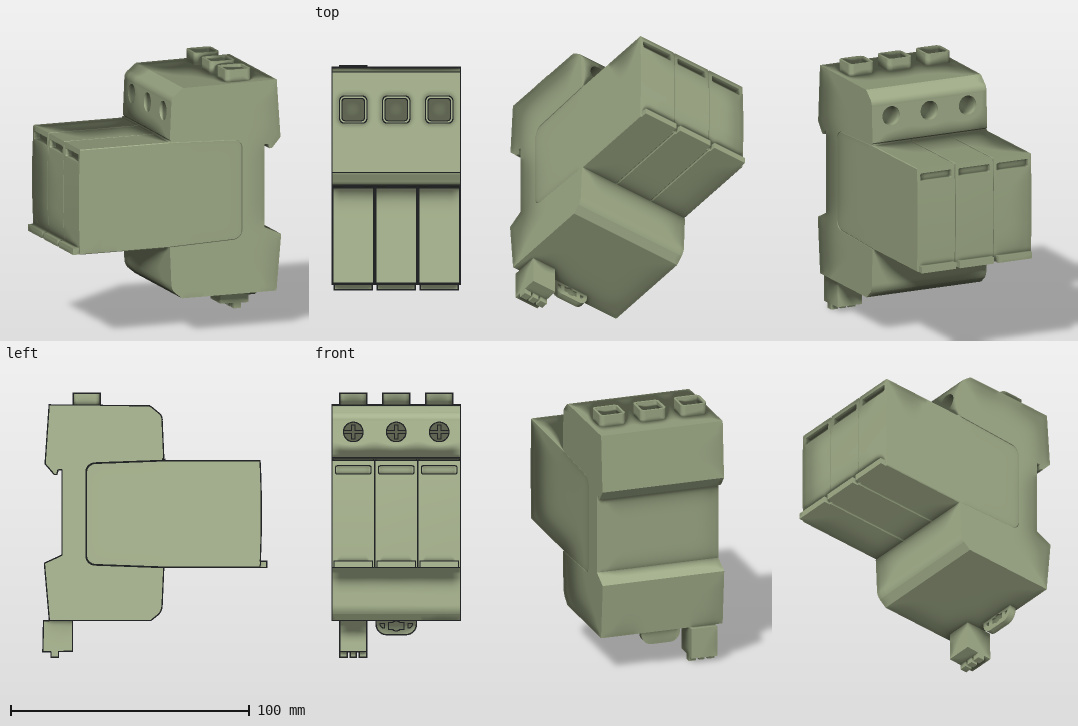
import cadquery as cq


pole_count = 3
pole_pitch = 18.0
base_width = pole_count * pole_pitch
pole_xs = [(i - (pole_count - 1) / 2) * pole_pitch for i in range(pole_count)]

base_top = 45.75
base_bottom = -44.7
base_front = -42.7
top_back_y = 5.4
bottom_back_y = 5.3
bottom_front_y = -37.2

top_shoulder_start = (-36.6, 45.35)
top_shoulder_bend = (-37.6, 44.8)
top_arc_start = (-40.2, 42.6)
top_arc_middle = (-41.5, 41.3)
top_arc_end = (-42.0, 39.1)
bottom_arc_start = (-40.5, -42.0)
bottom_arc_middle = (-41.5, -40.5)
bottom_arc_end = (-42.0, -38.2)

hook_back = (7.1, 21.0)
hook_tip_y = (3.2, 2.1)
hook_tip_z = 16.5
hook_root = (1.6, 18.4)
seat_top = 18.5
seat_bottom = -17.2
foot_back = (7.4, -20.6)

cartridge_half_height = 22.5
cartridge_width = 17.65
cartridge_back = -10.0
cartridge_back_half_height = 21.3
cartridge_back_radius = 4.0
cartridge_front = -83.0
front_bulge = 0.6
seam_bevel = 0.3
lip_height = 0.5
lip_front = -43.25
lip_bevel = 0.6

window_width = 14.8
window_height = 3.5
window_z = 18.45
window_depth = 2.5
window_radius = 0.7
tab_width = 16.0
tab_height = 2.8
tab_front = -85.8
tab_root = cartridge_front + 1.0

screw_z = 34.35
screw_hole_diameter = 8.2
screw_hole_depth = 14.0
screw_slot_width = 1.4
screw_cross_length = 5.8
screw_slot_depth = 1.0

collar_size = 11.4
collar_opening = 9.35
collar_corner = 2.0
collar_opening_corner = 1.2
collar_y = -10.35
collar_top = 50.6
collar_opening_depth = 15.0

plug_width = 11.5
plug_back = 8.06
plug_front = -4.5
plug_bottom = -57.5
plug_bottom_drop = 0.3
plug_draft = 0.3
prong_bottom = -60.0
prong_back = 4.6
prong_front = 1.4
prong_gap = 1.2
prong_middle_width = 2.6

latch_width = 17.0
latch_bottom = -50.6
latch_radius = 4.5
latch_front = 1.0
latch_back = 4.0
latch_recess_depth = 0.8
latch_recess_z = -46.9
latch_slot_width = 6.6
latch_slot_height = 2.8
latch_eye_diameter = 4.2
latch_pocket_inner_x = 4.9
latch_pocket_size = 1.9
latch_pocket_top = -45.95

overlap = 1.0


def extrude_across(profile, width):
    """Extrude a YZ profile symmetrically about X = 0."""
    return profile.extrude(width / 2, both=True)


def make_base():
    """Housing with the rail hook, rail seat, and two bevelled front shoulders."""
    profile = (
        cq.Workplane("YZ")
        .moveTo(top_back_y, base_top)
        .lineTo(*hook_back)
        .lineTo(hook_tip_y[0], hook_tip_z)
        .lineTo(hook_tip_y[1], hook_tip_z)
        .lineTo(*hook_root)
        .lineTo(0, seat_top)
        .lineTo(0, seat_bottom)
        .lineTo(*foot_back)
        .lineTo(bottom_back_y, base_bottom)
        .lineTo(bottom_front_y, base_bottom)
        .lineTo(*bottom_arc_start)
        .threePointArc(bottom_arc_middle, bottom_arc_end)
        .lineTo(base_front, -cartridge_half_height)
        .lineTo(base_front + lip_bevel, cartridge_half_height + lip_height)
        .lineTo(base_front, cartridge_half_height + lip_height + lip_bevel)
        .lineTo(*top_arc_end)
        .threePointArc(top_arc_middle, top_arc_start)
        .lineTo(*top_shoulder_bend)
        .lineTo(*top_shoulder_start)
        .close()
    )
    return extrude_across(profile, base_width)


def make_cartridge_block(width):
    """Cartridge side outline, tapered where it plugs in, extruded to the given width."""
    outline = (
        cq.Workplane("YZ")
        .moveTo(cartridge_front, -cartridge_half_height)
        .lineTo(base_front, -cartridge_half_height)
        .lineTo(cartridge_back, -cartridge_back_half_height)
        .lineTo(cartridge_back, cartridge_back_half_height)
        .lineTo(base_front, cartridge_half_height)
        .lineTo(cartridge_front, cartridge_half_height)
        .threePointArc(
            (cartridge_front - front_bulge, 0),
            (cartridge_front, -cartridge_half_height),
        )
        .close()
    )
    block = extrude_across(outline, width)
    return block.faces(">Y").edges("|X").fillet(cartridge_back_radius)


def box_between(x_range, y_range, z_range):
    """Axis-aligned box spanning the three (low, high) ranges."""
    size = [high - low for low, high in (x_range, y_range, z_range)]
    corner = (x_range[0], y_range[0], z_range[0])
    return cq.Workplane("XY").box(*size, centered=False).translate(corner)


def centered_range(center, size):
    """(low, high) pair of a span about its center."""
    return (center - size / 2, center + size / 2)


def make_cartridge(x):
    """Plug-in cartridge with bevelled sides, a top lip, a label window and a pull tab."""
    body = make_cartridge_block(cartridge_width)
    bevelled_edges = body.faces("<X or >X").edges(cq.selectors.BoxSelector(
        (-base_width, cartridge_front + overlap, -base_top),
        (base_width, cartridge_back + overlap, base_top),
    ))
    body = bevelled_edges.chamfer(seam_bevel).translate((x, 0, 0))
    lip = box_between(
        centered_range(x, cartridge_width - 2 * seam_bevel),
        (lip_front, base_front + lip_bevel),
        (cartridge_half_height - overlap, cartridge_half_height + lip_height),
    )
    window = box_between(
        centered_range(x, window_width),
        (cartridge_front - front_bulge - overlap, cartridge_front + window_depth),
        centered_range(window_z, window_height),
    ).edges("|Y").fillet(window_radius)
    tab = box_between(
        centered_range(x, tab_width),
        (tab_front, tab_root),
        (-cartridge_half_height, tab_height - cartridge_half_height),
    )
    return body.union(lip).cut(window).union(tab)


def make_cartridge_core():
    """Plugged-in stretch of the cartridges joined into one block, without side bevels."""
    width = (pole_count - 1) * pole_pitch + cartridge_width - 2 * seam_bevel
    inserted = box_between(
        centered_range(0, base_width),
        (base_front, cartridge_back),
        centered_range(0, 2 * base_top),
    )
    return make_cartridge_block(width).intersect(inserted)


def make_screw_hole(x):
    """Screwdriver hole, with a cross recess in the screw head at its bottom."""
    floor_y = base_front + screw_hole_depth
    slot_range = (floor_y - overlap, floor_y + screw_slot_depth)
    hole = (
        cq.Workplane("XZ", origin=(x, base_front - overlap, screw_z))
        .circle(screw_hole_diameter / 2)
        .extrude(-(screw_hole_depth + overlap))
    )
    long_slot = box_between(
        centered_range(x, screw_hole_diameter),
        slot_range,
        centered_range(screw_z, screw_slot_width),
    )
    cross_slot = box_between(
        centered_range(x, screw_slot_width),
        slot_range,
        centered_range(screw_z, screw_cross_length),
    )
    head = hole.translate((0, screw_slot_depth, 0))
    return hole.union(long_slot.intersect(head)).union(cross_slot)


def make_collar(x):
    """Square tubular wire collar standing on the top face."""
    return box_between(
        centered_range(x, collar_size),
        centered_range(collar_y, collar_size),
        (base_top - overlap, collar_top),
    ).edges("|Z").fillet(collar_corner)


def make_collar_opening(x):
    """Square blind opening down through the collar into the base."""
    return box_between(
        centered_range(x, collar_opening),
        centered_range(collar_y, collar_opening),
        (collar_top - collar_opening_depth, collar_top),
    ).edges("|Z").fillet(collar_opening_corner)


def make_plug(x):
    """Plug connector below the base, ending in three prongs."""
    body = (
        cq.Workplane("YZ", origin=(x, 0, 0))
        .moveTo(plug_back - plug_draft, base_bottom)
        .lineTo(plug_back, plug_bottom - plug_bottom_drop)
        .lineTo(plug_front, plug_bottom)
        .lineTo(plug_front, base_bottom)
        .close()
        .extrude(plug_width / 2, both=True)
    )
    prong_y = (prong_front, prong_back)
    prong_z = (prong_bottom, plug_bottom + overlap)
    prongs = box_between(centered_range(x, plug_width), prong_y, prong_z)
    gap_offset = (prong_middle_width + prong_gap) / 2
    for gap_x in (x - gap_offset, x + gap_offset):
        prongs = prongs.cut(box_between(centered_range(gap_x, prong_gap), prong_y, prong_z))
    return body.union(prongs)


def make_latch():
    """Rail latch with rounded lower corners and three shallow recesses on its front."""
    body = box_between(
        centered_range(0, latch_width),
        (latch_front, latch_back),
        (latch_bottom, base_bottom + overlap),
    ).faces("<Z").edges("|Y").fillet(latch_radius)
    recess_y = (latch_front - overlap, latch_front + latch_recess_depth)
    slot = box_between(
        centered_range(0, latch_slot_width),
        recess_y,
        centered_range(latch_recess_z, latch_slot_height),
    )
    eye = (
        cq.Workplane("XZ", origin=(0, latch_front, latch_recess_z))
        .circle(latch_eye_diameter / 2)
        .extrude(-latch_recess_depth)
    )
    body = body.cut(slot).cut(eye)
    for side in (-1, 1):
        pocket = (
            cq.Workplane("XZ", origin=(0, latch_front, 0))
            .moveTo(side * latch_pocket_inner_x, latch_pocket_top)
            .lineTo(side * (latch_pocket_inner_x + latch_pocket_size), latch_pocket_top)
            .radiusArc(
                (side * latch_pocket_inner_x, latch_pocket_top - latch_pocket_size),
                side * latch_pocket_size,
            )
            .close()
            .extrude(-latch_recess_depth)
        )
        body = body.cut(pocket)
    return body


base = make_base().cut(make_cartridge_block(base_width))
result = base.union(make_cartridge_core())
for pole_x in pole_xs:
    result = result.union(make_cartridge(pole_x))
    result = result.cut(make_screw_hole(pole_x))
    result = result.union(make_collar(pole_x)).cut(make_collar_opening(pole_x))
result = result.union(make_plug(pole_xs[0])).union(make_latch())